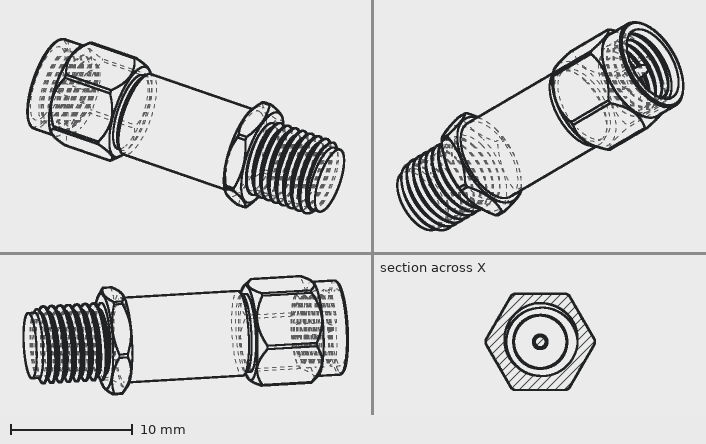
import cadquery as cq
import math

length = 25.9
hex_start = 2.07
hex_end = 7.62
body_start = 7.98
flange_start = 18.14
flange_end = 19.75
thread_end = 25.37

collar_dia = 7.77
collar_chamfer = 0.13
across_flats = 7.93
across_corners = 9.0
hex_end_dia = 7.82
neck_dia = 6.43
body_dia = 7.0
body_chamfer = (body_dia - neck_dia) / 2
hex_chamfer = 0.7
flange_chamfer_left = 0.5
flange_chamfer_right = 0.4

crest_gaps = 7
crest_span = 4.92
pitch = crest_span / crest_gaps
overlap = 0.04
trim_margin = 0.13
crest_width = 0.08
thread_base_width = 0.65
male_root_dia = 5.4
male_crest_dia = 6.35
male_crest_at_bottom = 20.03
end_taper = 0.41
bore_dia = 6.35
bore_crest_dia = 5.57
bore_thread_start = 0.78
bore_crest_at_bottom = 0.95

bore_depth = 3.37
insulator_dia = 4.45
insulator_height = 0.08
pin_dia = 0.93
pin_tip_dia = 0.45
pin_tip = 0.5
pin_shoulder = 1.27
pin_hole_dia = 1.2
pin_hole_depth = 0.25


def revolve_profile(points):
    """Solid of revolution about X from (x, diameter) points."""
    outline = [(points[0][0], 0)] + [(x, dia / 2) for x, dia in points] + [(points[-1][0], 0)]
    return cq.Workplane("XY").polyline(outline).close().revolve(360, (0, 0), (1, 0))


def cylinder(start, end, diameter):
    return revolve_profile([(start, diameter), (end, diameter)])


def hex_nut(start, end, chamfer_left, chamfer_right):
    """Hexagon with flats facing +Z and -Z, trimmed by a double-coned cylinder."""
    sharp_corners = across_flats / math.cos(math.pi / 6)
    prism = cq.Workplane("YZ", origin=(start, 0, 0)).polygon(6, sharp_corners).extrude(end - start)
    envelope = revolve_profile([
        (start, hex_end_dia),
        (start + chamfer_left, across_corners),
        (end - chamfer_right, across_corners),
        (end, hex_end_dia),
    ])
    return prism.intersect(envelope)


def helical_ridge(start, turns, base_dia, crest_dia):
    """Right-handed ridge along +X, centred at the given X on the -Z side."""
    base_radius = base_dia / 2
    crest_radius = crest_dia / 2
    sunk_radius = base_radius - math.copysign(overlap, crest_radius - base_radius)
    half_base = thread_base_width / 2
    half_crest = crest_width / 2
    path = cq.Wire.makeHelix(pitch, pitch * turns, sunk_radius)
    ridge = (
        cq.Workplane("XZ")
        .polyline([
            (sunk_radius, -half_base),
            (crest_radius, -half_crest),
            (crest_radius, half_crest),
            (sunk_radius, half_base),
        ])
        .close()
        .sweep(cq.Workplane(path), isFrenet=True)
    )
    return ridge.rotate((0, 0, 0), (0, 1, 0), 90).translate((start, 0, 0))


body = revolve_profile([
    (0, collar_dia - 2 * collar_chamfer),
    (collar_chamfer, collar_dia),
    (hex_start, collar_dia),
    (hex_end, collar_dia),
    (hex_end, neck_dia),
    (body_start, neck_dia),
    (body_start + body_chamfer, body_dia),
    (flange_start, body_dia),
    (flange_end, body_dia),
    (flange_end, male_root_dia),
    (length, male_root_dia),
])

body = body.union(hex_nut(hex_start, hex_end, hex_chamfer, hex_chamfer))
body = body.union(hex_nut(flange_start, flange_end, flange_chamfer_left, flange_chamfer_right))

male_start = male_crest_at_bottom - pitch
male_turns = math.ceil((thread_end - male_start) / pitch) + 1
male_envelope = revolve_profile([
    (flange_start + pitch, male_crest_dia + 2 * trim_margin),
    (thread_end - end_taper, male_crest_dia + 2 * trim_margin),
    (thread_end, male_root_dia),
])
male_ridge = helical_ridge(male_start, male_turns, male_root_dia, male_crest_dia)
body = body.union(male_ridge.intersect(male_envelope))

body = body.cut(cylinder(0, bore_depth, bore_dia))
bore_start = bore_crest_at_bottom - pitch
bore_turns = math.ceil((bore_depth - bore_start) / pitch) + 1
bore_ridge = helical_ridge(bore_start, bore_turns, bore_dia, bore_crest_dia)
bore_envelope = cylinder(bore_thread_start, bore_depth + overlap, bore_dia + 2 * trim_margin)
body = body.union(bore_ridge.intersect(bore_envelope))

insulator = revolve_profile([
    (bore_depth - insulator_height, insulator_dia - 2 * insulator_height),
    (bore_depth, insulator_dia),
    (bore_depth + pin_hole_depth, insulator_dia),
])
body = body.union(insulator)

hole_floor = bore_depth + pin_hole_depth
body = body.cut(cylinder(bore_depth - insulator_height, hole_floor, pin_hole_dia))
pin = revolve_profile([
    (pin_tip, pin_tip_dia),
    (pin_shoulder, pin_dia),
    (hole_floor + pin_hole_depth, pin_dia),
])
result = body.union(pin)